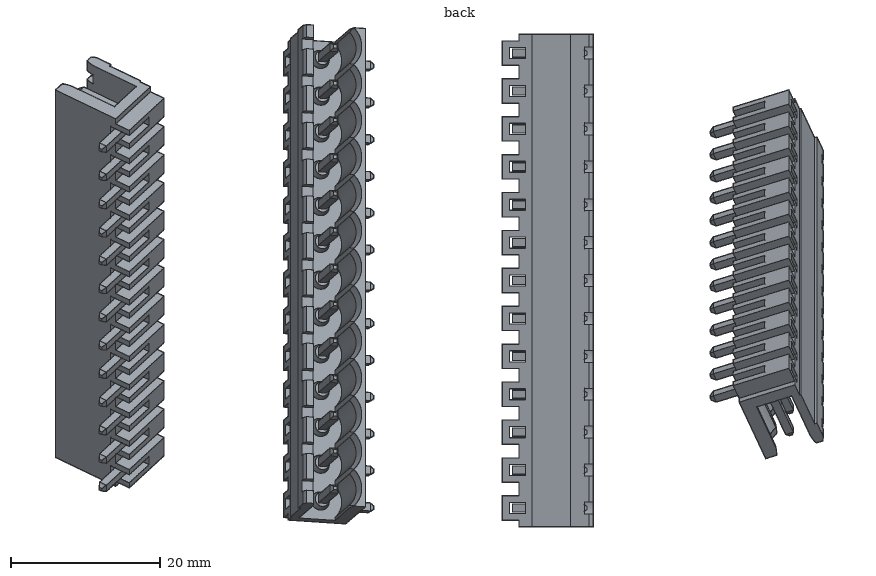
import cadquery as cq


pole_count = 13
length = 66.05
pitch = length / pole_count
pole_heights = [(i - (pole_count - 1) / 2) * pitch for i in range(pole_count)]
boundary_heights = [i * pitch - length / 2 for i in range(pole_count + 1)]

depth = 12.2
back_wall_x = 8.4
lower_wall = 1.9
upper_wall_y = 6.95
back_y = 8.0
arm_y = 8.2
arm_end_x = 8.2
lip_y = 8.5
lip_end_x = 3.05
lip_outer_run = 0.6
lip_outer_rise = 0.3

lead_in_run = 1.6
lead_in_rise = 0.3
lead_in_radius = (lead_in_run**2 + lead_in_rise**2) / (2 * lead_in_rise)

lip_notch_depth = 1.2
lip_notch_height = 1.6
back_notch_x = 10.0
back_notch_height = 1.8

scallop_radius = 3.0
scallop_mouth_radius = 3.45
scallop_mouth_depth = 1.2

pin_y = 3.95
pin_width = 1.1
pin_start_x = 0.85
tail_x = 10.3
tail_length = 3.95
tip_length = 0.6
tip_width = 0.45
collar_radius = 1.25
collar_tip_radius = 1.0
collar_length = 1.05

slot_height = 1.45
slot_start_x = 9.1
slot_through_end_x = 11.2
slot_depth = pin_y + pin_width / 2


def box(x0, x1, y0, y1, height):
    """Block between the given X and Y limits, centred on Z = 0."""
    block = cq.Workplane("XY").box(x1 - x0, y1 - y0, height)
    return block.translate(((x0 + x1) / 2, (y0 + y1) / 2, 0))


def along_x(x):
    """Sketch plane facing +X, on the axis of the pin at Z = 0."""
    return cq.Workplane("YZ", origin=(x, pin_y, 0))


def make_profile():
    """U-shaped housing extruded over the full length."""
    return (
        cq.Workplane("XY", origin=(0, 0, -length / 2))
        .moveTo(0, 0)
        .lineTo(depth, 0)
        .lineTo(depth, back_y)
        .lineTo(arm_end_x, back_y)
        .lineTo(arm_end_x, arm_y)
        .lineTo(lip_end_x, arm_y)
        .lineTo(lip_end_x, lip_y)
        .lineTo(lip_outer_run, lip_y)
        .lineTo(0, lip_y - lip_outer_rise)
        .lineTo(0, upper_wall_y + lead_in_rise)
        .radiusArc((lead_in_run, upper_wall_y), -lead_in_radius)
        .lineTo(back_wall_x, upper_wall_y)
        .lineTo(back_wall_x, lower_wall)
        .lineTo(lead_in_run, lower_wall)
        .radiusArc((0, lower_wall - lead_in_rise), -lead_in_radius)
        .close()
        .extrude(length)
    )


def make_scallop():
    """Round channel around the pin, flared at its mouth and kept clear of the +Y wall."""
    channel = along_x(0).circle(scallop_radius).extrude(back_wall_x)
    mouth = (
        along_x(0)
        .circle(scallop_mouth_radius)
        .workplane(offset=scallop_mouth_depth)
        .circle(scallop_radius)
        .loft()
    )
    keep = box(0, back_wall_x, 0, pin_y, pitch)
    return channel.union(mouth).intersect(keep)


def make_slot():
    """Slot for the bent pin: a passage through the back and a recess open to +X."""
    passage = box(slot_start_x, slot_through_end_x, 0, back_y, slot_height)
    recess = box(slot_start_x, depth, 0, slot_depth, slot_height)
    return passage.union(recess)


def make_tapered_bar(plane, bar_length):
    """Square bar that grows from the plane and ends in a tapered tip."""
    bar = plane.rect(pin_width, pin_width).extrude(bar_length - tip_length)
    tip = (
        plane.workplane(offset=bar_length - tip_length)
        .rect(pin_width, pin_width)
        .workplane(offset=tip_length)
        .rect(tip_width, tip_width)
        .loft()
    )
    return bar.union(tip)


def make_pin():
    """Bent pin with the round collar at its root."""
    bend_x = tail_x + pin_width / 2
    bend_y = pin_y + pin_width / 2
    contact_plane = cq.Workplane(cq.Plane((bend_x, pin_y, 0), (0, 1, 0), (-1, 0, 0)))
    tail_plane = cq.Workplane(cq.Plane((tail_x, bend_y, 0), (1, 0, 0), (0, -1, 0)))
    contact = make_tapered_bar(contact_plane, bend_x - pin_start_x)
    tail = make_tapered_bar(tail_plane, bend_y + tail_length)
    collar = (
        along_x(back_wall_x - collar_length)
        .circle(collar_tip_radius)
        .workplane(offset=collar_length)
        .circle(collar_radius)
        .loft()
    )
    return contact.union(tail).union(collar)


lip_notch = box(0, lip_notch_depth, pin_y, lip_y, lip_notch_height)
pole_cutout = make_scallop().union(lip_notch).union(make_slot())
pin = make_pin()

back_notch = box(back_notch_x, depth, 0, back_y, back_notch_height)

result = make_profile()

for z in pole_heights:
    result = result.cut(pole_cutout.translate((0, 0, z)))

for z in boundary_heights:
    result = result.cut(back_notch.translate((0, 0, z)))

for z in pole_heights:
    result = result.union(pin.translate((0, 0, z)))